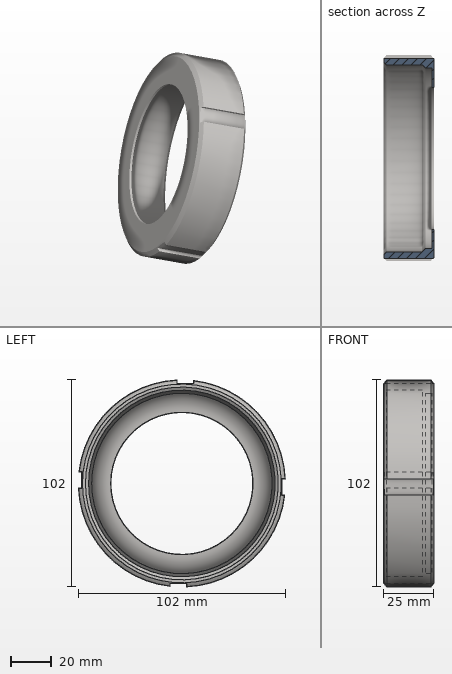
import cadquery as cq

outer_diameter = 102.1
width = 25.0
outer_radius = outer_diameter / 2
front_x = -width / 2
back_x = width / 2

chamfer_length = 1.6
chamfer_depth = 2.0

cavity_radius = 46.0
mouth_chamfer = 1.5
mouth_radius = cavity_radius + mouth_chamfer
step_radius = 44.5
step_taper = cavity_radius - step_radius
cavity_length = 19.2
step_length = 3.2
flange_bore_radius = 35.0

slot_count = 4
slot_width = 8.1
slot_offset = 1.7
slot_floor = 49.4


def ring_body():
    """Revolve the half section, drawn as (x, radius), about the X axis."""
    taper_start_x = front_x + cavity_length
    step_x = taper_start_x + step_taper
    floor_x = step_x + step_length
    section = [
        (front_x, mouth_radius),
        (front_x, outer_radius - chamfer_depth),
        (front_x + chamfer_length, outer_radius),
        (back_x - chamfer_length, outer_radius),
        (back_x, outer_radius - chamfer_depth),
        (back_x, flange_bore_radius),
        (floor_x, flange_bore_radius),
        (floor_x, step_radius),
        (step_x, step_radius),
        (taper_start_x, cavity_radius),
        (front_x + mouth_chamfer, cavity_radius),
    ]
    return cq.Workplane("XY").polyline(section).close().revolve(360, (0, 0, 0), (1, 0, 0))


def spanner_slot(angle):
    """Full-width slot cutter at the top of the ring, turned about X."""
    cutter = cq.Workplane("XY").box(width, slot_width, outer_radius, centered=(True, True, False))
    return cutter.translate((0, -slot_offset, slot_floor)).rotate((0, 0, 0), (1, 0, 0), angle)


result = ring_body()
for slot in range(slot_count):
    result = result.cut(spanner_slot(slot * 360 / slot_count))